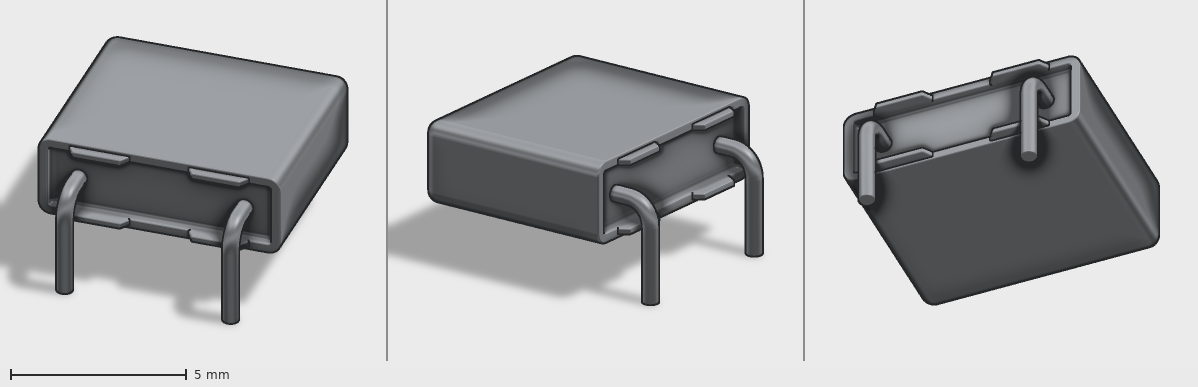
import cadquery as cq

overall_depth = 7.45
overall_height = 4.3

edge_round = 0.05

lead_diameter = 0.5
lead_spacing = 5.0
lead_straight = 0.25
lead_bend_radius = 0.745
lead_end_round = 0.04
lead_reach = lead_straight + lead_bend_radius + lead_diameter / 2

case_width = 7.3
case_depth = overall_depth - lead_reach
case_height = 2.495
case_radius = 0.39
lead_bottom = overall_height - case_height / 2

wall = 0.3
recess_depth = 0.25
recess_corner_radius = 0.1
recess_floor_radius = 0.19

tab_base_length = 1.83
tab_slope_run = 0.2
tab_projection = 0.3
tab_thickness = 0.2
tab_centre_x = 1.795
tab_root = edge_round


def make_case():
    case = cq.Workplane("XY").box(case_width, case_depth, case_height)
    case = case.translate((0, case_depth / 2, 0))
    case = case.edges("|Y").fillet(case_radius)
    case = case.faces(">Y").edges().fillet(case_radius)
    return case


def make_recess():
    recess = cq.Workplane("XY").box(case_width - 2 * wall, recess_depth, case_height - 2 * wall)
    recess = recess.translate((0, recess_depth / 2, 0))
    recess = recess.edges("|Y").fillet(recess_corner_radius)
    return recess.faces(">Y").edges().fillet(recess_floor_radius)


def make_tab(side_x, side_z):
    half_base = tab_base_length / 2
    half_tip = half_base - tab_slope_run
    profile = (
        cq.Workplane("XY")
        .polyline([
            (-half_base, tab_root),
            (-half_base, 0),
            (-half_tip, -tab_projection),
            (half_tip, -tab_projection),
            (half_base, 0),
            (half_base, tab_root),
        ])
        .close()
    )
    tab = profile.extrude(tab_thickness / 2, both=True)
    tab = tab.faces("<Y").edges("|Z").fillet(edge_round)
    tab = tab.faces("<Z or >Z").edges("not >Y").fillet(edge_round)
    tab_centre_z = case_height / 2 - wall + tab_thickness / 2
    return tab.translate((side_x * tab_centre_x, 0, side_z * tab_centre_z))


def make_lead(side_x):
    bend_end_y = -lead_straight - lead_bend_radius
    lead_start_y = recess_depth + lead_diameter
    path = (
        cq.Workplane("YZ")
        .moveTo(lead_start_y, 0)
        .lineTo(-lead_straight, 0)
        .radiusArc((bend_end_y, -lead_bend_radius), -lead_bend_radius)
        .lineTo(bend_end_y, -lead_bottom)
    )
    lead = (
        cq.Workplane("XZ", origin=(0, lead_start_y, 0))
        .circle(lead_diameter / 2)
        .sweep(path)
    )
    lead = lead.faces("<Z").edges().fillet(lead_end_round)
    return lead.translate((side_x * lead_spacing / 2, 0, 0))


result = make_case().cut(make_recess())
result = result.faces("<Y").edges().fillet(edge_round)
for side_x in (-1, 1):
    for side_z in (-1, 1):
        result = result.union(make_tab(side_x, side_z))
    result = result.union(make_lead(side_x))